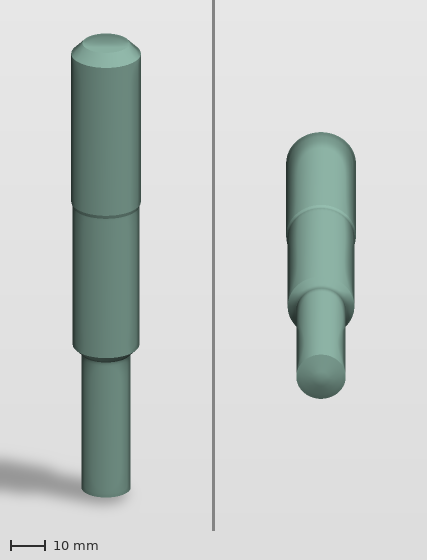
import cadquery as cq

total_length = 142.0

head_diameter = 20.0
body_diameter = 19.2
head_chamfer = 3.3
head_bottom_z = 92.2
step_bevel_height = 1.1
body_bottom_z = 47.1

pin_diameter = 14.2
point_height = 2.1

head_radius = head_diameter / 2
body_radius = body_diameter / 2
pin_radius = pin_diameter / 2
joint_z = body_bottom_z - (body_radius - pin_radius)


def revolve_profile(points):
    """Revolve an (r, z) outline that starts and ends on the Z axis."""
    return cq.Workplane("XZ").polyline(points).close().revolve(360, (0, 0, 0), (0, 1, 0))


def make_holder():
    return revolve_profile([
        (0, joint_z),
        (pin_radius, joint_z),
        (body_radius, body_bottom_z),
        (body_radius, head_bottom_z - step_bevel_height),
        (head_radius, head_bottom_z),
        (head_radius, total_length - head_chamfer),
        (head_radius - head_chamfer, total_length),
        (0, total_length),
    ])


def make_pin():
    return revolve_profile([
        (0, 0),
        (pin_radius, point_height),
        (pin_radius, joint_z),
        (0, joint_z),
    ])


holder = make_holder()
pin = make_pin()

result = cq.Compound.makeCompound([holder.val(), pin.val()])